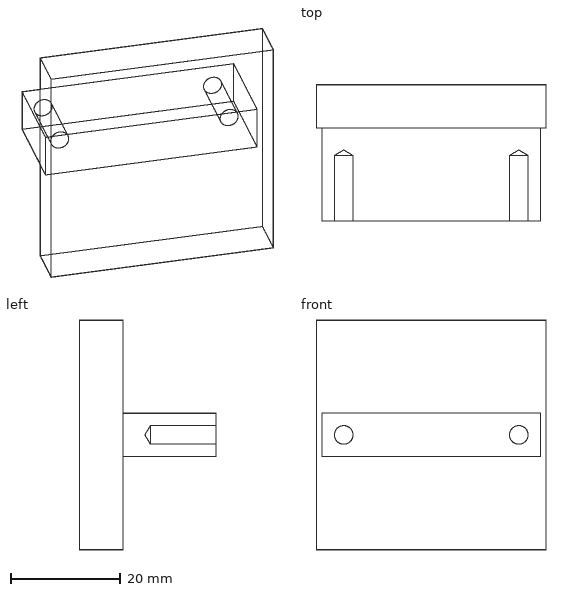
import cadquery as cq
import math

plate_side = 42.0
total_depth = 25.0
plate_thickness = 8.0
tongue_width = 40.0
tongue_height = 8.0
hole_diameter = 3.4
hole_spacing = 32.0
hole_depth = 12.0
drill_tip_angle = 118.0

tongue_length = total_depth - plate_thickness
hole_radius = hole_diameter / 2
tip_length = hole_radius / math.tan(math.radians(drill_tip_angle / 2))


def make_plate():
    """Square plate standing upright, with its front face at Y = 0."""
    return cq.Workplane("XY").box(
        plate_side, plate_thickness, plate_side, centered=(True, False, True)
    )


def make_tongue():
    """Block projecting forward (-Y) from the middle of the plate."""
    return (
        cq.Workplane("XY")
        .box(tongue_width, tongue_length, tongue_height, centered=(True, False, True))
        .translate((0, -tongue_length, 0))
    )


def make_drilled_hole(x):
    """Blind hole with a conical bottom, drilled into the tongue's end face."""
    bottom_y = -tongue_length + hole_depth
    profile = [
        (0, -tongue_length),
        (hole_radius, -tongue_length),
        (hole_radius, bottom_y),
        (0, bottom_y + tip_length),
    ]
    hole = cq.Workplane("XY").polyline(profile).close().revolve(360, (0, 0, 0), (0, 1, 0))
    return hole.translate((x, 0, 0))


result = make_plate().union(make_tongue())
for side in (-1, 1):
    result = result.cut(make_drilled_hole(side * hole_spacing / 2))